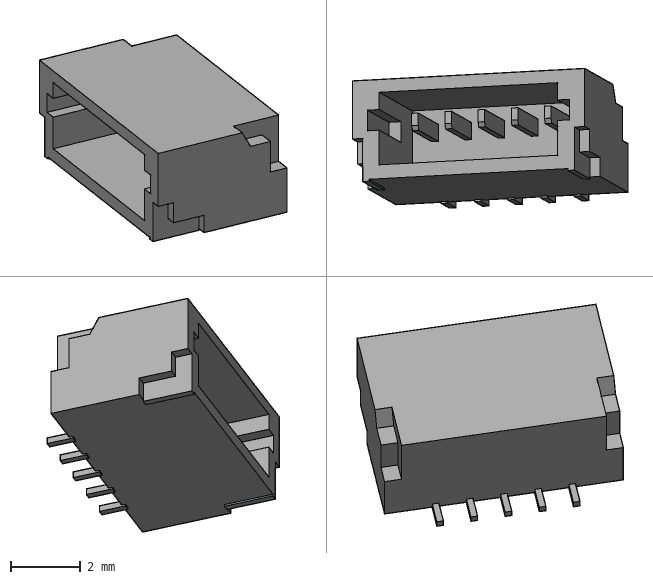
import cadquery as cq


width = 7.0
total_height = 2.96
housing_depth = 4.255
standoff = 0.055

cavity_width = 5.375
cavity_depth = 3.22
cavity_top = total_height - 0.38
cavity_bottom = standoff + 0.405

slot_span = 6.09
slot_depth = 2.1
slot_top = total_height - 0.88
slot_bottom = total_height - 1.485

notch_width = 0.5
notch_shelf_drop = 0.505
notch_step_drop = 1.485
notch_step_length = 0.55
notch_shelf_length = 1.205
notch_top_length = 1.485

sheet = 0.195
tab_recess = 0.31
tab_upper_length = 0.505
tab_lower_length = 1.51
tab_top = total_height - 1.7
tab_shoulder = total_height - 2.345

contact_count = 5
pitch = 1.0
pin_top = total_height - 0.81
pin_height = 0.5
pin_length = 1.96
pin_root = 0.14
pin_bevel_height = 0.14
pin_bevel_length = 0.06
tail_reach = 0.69
tail_root = 0.12


def box_between(x_size, x_center, y_range, z_range):
    """Axis-aligned block given its X size and centre and its Y and Z limits."""
    return (
        cq.Workplane("XY")
        .box(x_size, y_range[1] - y_range[0], z_range[1] - z_range[0], centered=(True, False, False))
        .translate((x_center, y_range[0], z_range[0]))
    )


def side_profile(points, x_start, x_size):
    """Extrude a closed (Y, Z) outline along +X from x_start."""
    return cq.Workplane("YZ").workplane(offset=x_start).polyline(points).close().extrude(x_size)


def mirrored_pair(left_solid):
    """A left-hand solid together with its mirror image across the mid-plane."""
    return left_solid.union(left_solid.mirror("YZ"))


def make_housing():
    """Outer block with the cavity and its side slots."""
    block = box_between(width, 0, (0, housing_depth), (standoff, total_height))
    cavity = box_between(cavity_width, 0, (0, cavity_depth), (cavity_bottom, cavity_top))
    slots = box_between(slot_span, 0, (0, slot_depth), (slot_bottom, slot_top))
    return block.cut(cavity).cut(slots)


def make_rear_notches():
    """Cutters for the stepped rear corners; the front end of each slopes."""
    shelf_z = total_height - notch_shelf_drop
    step_z = total_height - notch_step_drop
    outline = [
        (housing_depth, total_height),
        (housing_depth - notch_top_length, total_height),
        (housing_depth - notch_shelf_length, shelf_z),
        (housing_depth - notch_step_length, shelf_z),
        (housing_depth - notch_step_length, step_z),
        (housing_depth, step_z),
    ]
    return mirrored_pair(side_profile(outline, -width / 2, notch_width))


def make_tab_shape(x_start, thickness):
    """Pair of L-shaped plates in the lower front corners."""
    outline = [
        (0, 0),
        (0, tab_top),
        (tab_upper_length, tab_top),
        (tab_upper_length, tab_shoulder),
        (tab_lower_length, tab_shoulder),
        (tab_lower_length, 0),
    ]
    return mirrored_pair(side_profile(outline, x_start, thickness))


def make_contact(x_center):
    """One contact: a pin bevelled under its tip and a solder tail behind the housing."""
    pin_tip = cavity_depth - pin_length
    pin_bottom = pin_top - pin_height
    outline = [
        (pin_tip, pin_top),
        (cavity_depth + pin_root, pin_top),
        (cavity_depth + pin_root, pin_bottom),
        (pin_tip + pin_bevel_length, pin_bottom),
        (pin_tip, pin_bottom + pin_bevel_height),
    ]
    pin = side_profile(outline, x_center - sheet / 2, sheet)
    tail = box_between(
        sheet, x_center, (housing_depth - tail_root, housing_depth + tail_reach), (0, sheet)
    )
    return pin, tail


result = make_housing().cut(make_rear_notches())
result = result.cut(make_tab_shape(-width / 2, tab_recess))
result = result.union(make_tab_shape(-width / 2 + tab_recess, sheet))

for index in range(contact_count):
    contact_x = (index - (contact_count - 1) / 2) * pitch
    for piece in make_contact(contact_x):
        result = result.union(piece)